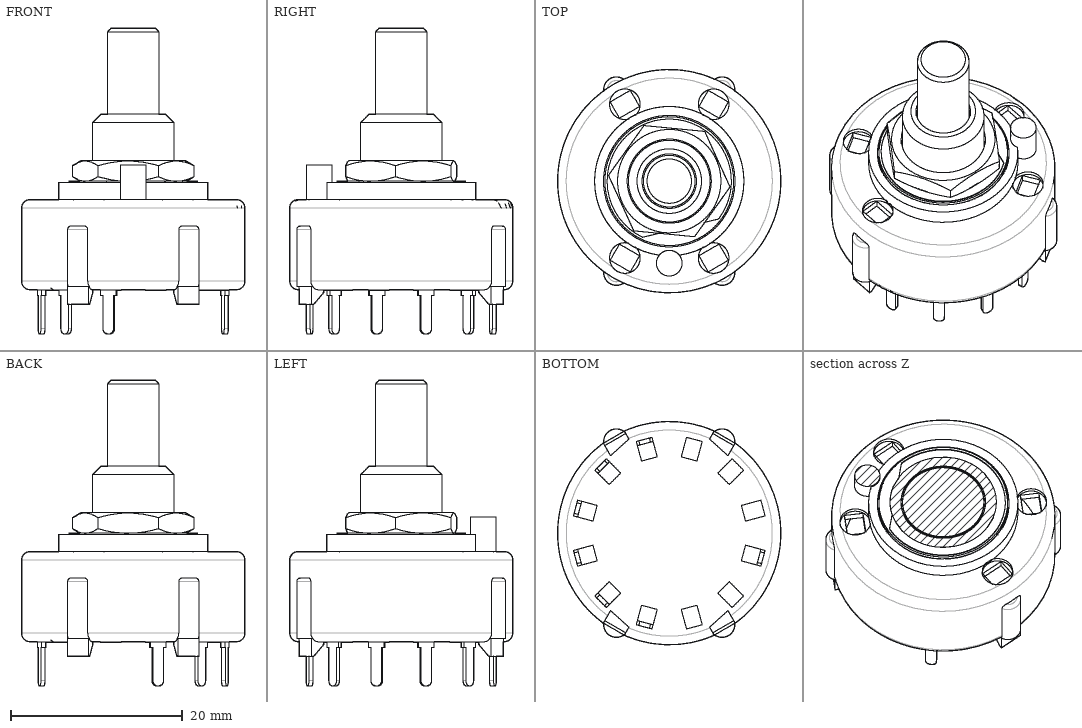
import cadquery as cq
import math


HOUSING_DIA = 26.0
HOUSING_HEIGHT = 10.5
HOUSING_ROUND = 1.0
ROOT_DEPTH = 0.35
CAVITY_DIA = 23.5
CAVITY_FLOOR = 1.42
CAVITY_CEILING = 9.08

COLLAR_DIA = 17.37
COLLAR_TOP = 12.5
SEAT_DIA = 15.3
SEAT_DEPTH = 0.35
WASHER_DIA = 15.0
WASHER_TOP = 12.65
WASHER_RECESS_DIA = 14.45
WASHER_FACE = 12.53
WASHER_FLAT_DISTANCE = 5.62
WASHER_FLAT_ANGLE = -76.5

NUT_ACROSS_CORNERS = 14.2
NUT_FACE_DIA = 12.05
NUT_BORE_DIA = 9.8
NUT_TOP = 15.05
NUT_CHAMFER_ANGLE = 30.0
NUT_TURN = -5.5

BUSHING_DIA = 9.5
BUSHING_TOP = 20.45
BUSHING_CHAMFER = 1.0
BUSHING_BORE_DIA = 6.35
BUSHING_BORE_DEPTH = 1.0
SHAFT_DIA = 6.0
SHAFT_TOP = 30.45
SHAFT_CHAMFER = 0.43

PEG_DIA = 3.0
PEG_RADIUS = 9.55
PEG_TOP = 14.52

LATCH_ANGLES = (60, 120, 240, 300)
LONG_PLUS_SIDE_ANGLES = (120, 300)
HOLE_DIA = 3.55
HOLE_RADIUS = 10.32
HOLE_DEPTH = 0.5
WINDOW_WIDTH = 2.7
WINDOW_LENGTH = 2.17
POST_DIA = 3.0
POST_RADIUS = 12.28
POST_BOTTOM = 0.4
POST_TOP = 7.45
POST_ROUND = 0.43
HOOK_WIDTH = 2.8
HOOK_OUTER_RADIUS = 12.9
HOOK_BOTTOM = -1.7
HOOK_LIP = -0.32
HOOK_LONG_REACH = 1.67
HOOK_SHORT_REACH = 1.07
HOOK_TIP = 0.32

TERMINAL_ANGLES = (15, 105, 135, 165, 195, 225, 255)
TERMINAL_RADIUS = 11.05
TERMINAL_WIDTH = 1.28
TERMINAL_THICKNESS = 0.5
OVERALL_HEIGHT = 35.6
TERMINAL_BOTTOM = SHAFT_TOP - OVERALL_HEIGHT
SHOULDER_WIDTH = 1.9
SHOULDER_BOTTOM = -0.68

PAD_COUNT = 12
PAD_FIRST_ANGLE = 15
PAD_INNER_RADIUS = 8.95
PAD_OUTER_RADIUS = TERMINAL_RADIUS + TERMINAL_THICKNESS / 2
PAD_HEIGHT = 0.1


def cylinder(diameter, bottom, top):
    return cq.Workplane("XY").workplane(offset=bottom).circle(diameter / 2).extrude(top - bottom)


def around(shape, angle):
    """Turn a shape built on the +X side to the given angle about Z."""
    return shape.rotate((0, 0, 0), (0, 0, 1), angle)


def make_housing():
    return cylinder(HOUSING_DIA, 0, HOUSING_HEIGHT).edges().fillet(HOUSING_ROUND)


def make_collar():
    seat_floor = COLLAR_TOP - SEAT_DEPTH
    collar = cylinder(COLLAR_DIA, HOUSING_HEIGHT, COLLAR_TOP)
    seat = cylinder(SEAT_DIA, seat_floor, COLLAR_TOP)
    washer = cylinder(WASHER_DIA, seat_floor, WASHER_TOP)
    recess = cylinder(WASHER_RECESS_DIA, WASHER_FACE, WASHER_TOP)
    beyond_flat = (
        cq.Workplane("XY").workplane(offset=WASHER_FACE)
        .center(WASHER_FLAT_DISTANCE + WASHER_DIA / 2, 0)
        .rect(WASHER_DIA, WASHER_DIA)
        .extrude(WASHER_TOP - WASHER_FACE)
    )
    washer = washer.cut(around(recess.cut(beyond_flat), WASHER_FLAT_ANGLE))
    return collar.cut(seat).union(washer)


def make_nut():
    height = NUT_TOP - WASHER_FACE
    hexagon = (
        cq.Workplane("XY").workplane(offset=WASHER_FACE)
        .polygon(6, NUT_ACROSS_CORNERS).extrude(height)
    )
    face_radius = NUT_FACE_DIA / 2
    outer_radius = NUT_ACROSS_CORNERS / 2
    drop = (outer_radius - face_radius) * math.tan(math.radians(NUT_CHAMFER_ANGLE))
    envelope = (
        cq.Workplane("XZ")
        .moveTo(0, WASHER_FACE)
        .lineTo(face_radius, WASHER_FACE)
        .lineTo(outer_radius, WASHER_FACE + drop)
        .lineTo(outer_radius, NUT_TOP - drop)
        .lineTo(face_radius, NUT_TOP)
        .lineTo(0, NUT_TOP)
        .close()
        .revolve(360, (0, 0, 0), (0, 1, 0))
    )
    nut = around(hexagon, NUT_TURN).intersect(envelope)
    return nut.cut(cylinder(NUT_BORE_DIA, WASHER_FACE, NUT_TOP))


def make_bushing():
    bushing = cylinder(BUSHING_DIA, COLLAR_TOP, BUSHING_TOP).faces(">Z").chamfer(BUSHING_CHAMFER)
    return bushing.cut(cylinder(BUSHING_BORE_DIA, BUSHING_TOP - BUSHING_BORE_DEPTH, BUSHING_TOP))


def make_shaft():
    return cylinder(SHAFT_DIA, COLLAR_TOP, SHAFT_TOP).faces(">Z").chamfer(SHAFT_CHAMFER)


def make_peg():
    return cylinder(PEG_DIA, HOUSING_HEIGHT - ROOT_DEPTH, PEG_TOP).translate((0, -PEG_RADIUS, 0))


def make_access_hole():
    hole = cylinder(HOLE_DIA, HOUSING_HEIGHT - HOLE_DEPTH, HOUSING_HEIGHT)
    window = (
        cq.Workplane("XY").workplane(offset=CAVITY_CEILING)
        .rect(WINDOW_LENGTH, WINDOW_WIDTH).extrude(HOUSING_HEIGHT - CAVITY_CEILING)
    )
    return hole.union(window).translate((HOLE_RADIUS, 0, 0))


def make_post():
    post = cylinder(POST_DIA, POST_BOTTOM, POST_TOP).faces(">Z").edges().fillet(POST_ROUND)
    return post.translate((POST_RADIUS, 0, 0))


def hook_outline(reach):
    """Radius and height points of one side of the hook."""
    lip_radius = HOOK_OUTER_RADIUS - reach
    return [
        (HOOK_OUTER_RADIUS, POST_BOTTOM),
        (HOOK_OUTER_RADIUS, HOOK_BOTTOM),
        (HOOK_OUTER_RADIUS - HOOK_TIP, HOOK_BOTTOM),
        (lip_radius, HOOK_LIP),
        (lip_radius, POST_BOTTOM),
    ]


def make_hook(plus_y_reach, minus_y_reach):
    return (
        cq.Workplane("XZ").workplane(offset=-HOOK_WIDTH / 2)
        .polyline(hook_outline(plus_y_reach)).close()
        .workplane(offset=HOOK_WIDTH)
        .polyline(hook_outline(minus_y_reach)).close()
        .loft(ruled=True)
    )


def make_latch_hook(angle):
    if angle in LONG_PLUS_SIDE_ANGLES:
        return make_hook(HOOK_LONG_REACH, HOOK_SHORT_REACH)
    return make_hook(HOOK_SHORT_REACH, HOOK_LONG_REACH)


def make_terminal():
    half_width = TERMINAL_WIDTH / 2
    half_shoulder = SHOULDER_WIDTH / 2
    tip_centre = TERMINAL_BOTTOM + half_width
    return (
        cq.Workplane("YZ").workplane(offset=TERMINAL_RADIUS - TERMINAL_THICKNESS / 2)
        .moveTo(-half_shoulder, ROOT_DEPTH)
        .lineTo(-half_shoulder, SHOULDER_BOTTOM)
        .lineTo(-half_width, SHOULDER_BOTTOM)
        .lineTo(-half_width, tip_centre)
        .threePointArc((0, TERMINAL_BOTTOM), (half_width, tip_centre))
        .lineTo(half_width, SHOULDER_BOTTOM)
        .lineTo(half_shoulder, SHOULDER_BOTTOM)
        .lineTo(half_shoulder, ROOT_DEPTH)
        .close()
        .extrude(TERMINAL_THICKNESS)
    )


def make_pad():
    length = PAD_OUTER_RADIUS - PAD_INNER_RADIUS
    return (
        cq.Workplane("XY").workplane(offset=-PAD_HEIGHT)
        .center(PAD_INNER_RADIUS + length / 2, 0)
        .rect(length, SHOULDER_WIDTH)
        .extrude(PAD_HEIGHT + ROOT_DEPTH)
    )


body = make_housing()
for pad_index in range(PAD_COUNT):
    body = body.union(around(make_pad(), PAD_FIRST_ANGLE + pad_index * 360 / PAD_COUNT))

for latch_angle in LATCH_ANGLES:
    body = body.cut(around(make_access_hole(), latch_angle))
    body = body.union(around(make_post(), latch_angle))
    body = body.union(around(make_latch_hook(latch_angle), latch_angle))

body = body.cut(cylinder(CAVITY_DIA, CAVITY_FLOOR, CAVITY_CEILING))

for terminal_angle in TERMINAL_ANGLES:
    body = body.union(around(make_terminal(), terminal_angle))

for piece in (make_collar(), make_nut(), make_bushing(), make_peg(), make_shaft()):
    body = body.union(piece)

result = body